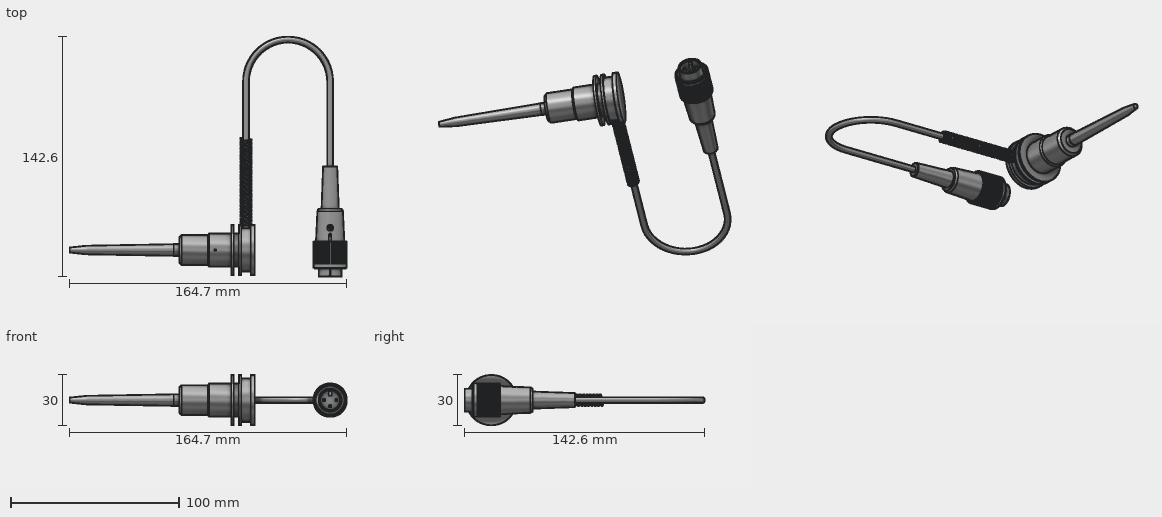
import cadquery as cq
import math

TOTAL_LENGTH = 164.7

CUTTER_HEIGHT = 1.6

TIP_DIA = 3.1
TIP_DOME = 0.2
TIP_CONE_END = 10.0
ROD_FRONT_DIA = 5.3
ROD_REAR_DIA = 7.0
NECK_START = 62.0
NECK_DIA = 7.2

HOUSING_START = 65.0
NOSE_DIA = 18.0
NOSE_CHAMFER = 1.5
BODY_START = 82.0
BODY_DIA = 20.0
BODY_CHAMFER = 1.0
FLANGE_DIA = 30.0
THIN_FLANGE_WIDTH = 1.5
DISC_START = 96.0
FRONT_FLANGE_START = 100.5
GROOVE_WIDTH = 5.6
GROOVE_DIA = 26.0
REAR_FLANGE_WIDTH = 2.5
MARK_X = 86.5
MARK_DIA = 1.0
MARK_DEPTH = 0.5

DISC_END = DISC_START + THIN_FLANGE_WIDTH
GROOVE_START = FRONT_FLANGE_START + THIN_FLANGE_WIDTH
GROOVE_END = GROOVE_START + GROOVE_WIDTH
HOUSING_END = GROOVE_END + REAR_FLANGE_WIDTH
GROOVE_FLOOR = GROOVE_DIA / 2

COLLAR_DIA = 20.0
PLUG_X = TOTAL_LENGTH - COLLAR_DIA / 2
BOOT_END = 49.9
BOOT_SMALL_DIA = 8.5
BOOT_LARGE_DIA = 10.4
BOOT_EDGE = 0.5
SHELL_END = 24.5
SHELL_CHAMFER_LENGTH = 1.5
SHELL_END_DIA = 13.7
SHELL_SMALL_DIA = 15.3
SHELL_LARGE_DIA = 17.0
BARREL_DIA = 13.7
BARREL_BORE = 11.7
BARREL_RIM_CHAMFER = 0.7
BARREL_END = -15.8
SOCKET_FLOOR = -6.6

CONTACT_DIA = 1.5
CONTACT_LENGTH = 8.2
CONTACT_TIP_CHAMFER = 0.3
CONTACT_RADIUS = 3.6
CONTACT_ANGLES = (0, 180, 270)
KEY_WIDTH = 1.6
KEY_INNER_RADIUS = 2.6
KEY_SETBACK = 0.7
KEY_SLOT_WIDTH = 0.7
KEY_SLOT_DEPTH = 1.6

SCREW_Y = 13.2
SCREW_DIA = 3.6
SCREW_RECESS = 0.3
CROSS_WIDTH = 0.7
CROSS_LENGTH = 3.3
CROSS_DEPTH = 0.5
ARROW_WIDTH = 1.5
ARROW_DEPTH = 0.3
ARROW_BAR_END = 8.2
ARROW_HEAD_START = 9.0
ARROW_HEAD_END = 10.0

COLLAR_TOP = 5.3
COLLAR_TOP_CHAMFER = 0.5
KNURL_END = -8.2
BAND_END = -10.4
COLLAR_END = -11.2
COLLAR_LIP_DIA = 18.5
COLLAR_BORE = 17.1
COLLAR_RECESS_DEPTH = 5.0
KNURL_COUNT = 90
KNURL_DEPTH = 0.5
INDEX_STRIP_WIDTH = 1.3

CABLE_DIA = 3.6
CABLE_X = GROOVE_START + GROOVE_WIDTH / 2
CABLE_INSERTION = 2.5
CABLE_START = GROOVE_FLOOR - CABLE_INSERTION
CABLE_END = BOOT_END - CABLE_INSERTION
BEND_CENTRE_Y = 100.0
BEND_RADIUS = (PLUG_X - CABLE_X) / 2
WIRE_DIA = 1.0
SPRING_DIA = 7.0
SPRING_SEAT_DIA = 7.2
SPRING_TURNS = 26.5
SPRING_RISE = 52.7
SPRING_START = GROOVE_FLOOR + WIRE_DIA / 2


def revolve_about_x(points):
    return cq.Workplane("XY").polyline(points).close().revolve(360, (0, 0, 0), (1, 0, 0))


def revolve_about_plug(points):
    turned = cq.Workplane("XY").polyline(points).close().revolve(360, (0, 0, 0), (0, 1, 0))
    return turned.translate((PLUG_X, 0, 0))


def along_y(x, y_start, y_end):
    """Sketch plane at y_start whose normal points toward y_end, with the extrusion length."""
    normal = (0, math.copysign(1, y_end - y_start), 0)
    plane = cq.Plane(origin=(x, y_start, 0), xDir=(1, 0, 0), normal=normal)
    return cq.Workplane(plane), abs(y_end - y_start)


def cylinder_y(x, y_start, y_end, diameter):
    sketch, length = along_y(x, y_start, y_end)
    return sketch.circle(diameter / 2).extrude(length)


def plug_box(width, y_start, y_end, z_start, z_end):
    """Box centred on the plug axis in X."""
    box = cq.Workplane("XY").box(width, y_end - y_start, z_end - z_start, centered=(True, False, False))
    return box.translate((PLUG_X, y_start, z_start))


def make_rod():
    """Tapered rod with a conical front and a shallow domed tip."""
    tip_radius = TIP_DIA / 2
    dome_mid = (TIP_DOME / 4, tip_radius / 2)
    return (
        cq.Workplane("XY")
        .moveTo(0, 0)
        .threePointArc(dome_mid, (TIP_DOME, tip_radius))
        .lineTo(TIP_CONE_END, ROD_FRONT_DIA / 2)
        .lineTo(NECK_START, ROD_REAR_DIA / 2)
        .lineTo(NECK_START, NECK_DIA / 2)
        .lineTo(HOUSING_START, NECK_DIA / 2)
        .lineTo(HOUSING_START, 0)
        .close()
        .revolve(360, (0, 0, 0), (1, 0, 0))
    )


def make_housing(cable):
    nose = NOSE_DIA / 2
    body = BODY_DIA / 2
    flange = FLANGE_DIA / 2
    housing = revolve_about_x([
        (HOUSING_START, 0),
        (HOUSING_START, nose - NOSE_CHAMFER),
        (HOUSING_START + NOSE_CHAMFER, nose),
        (BODY_START, nose),
        (BODY_START + BODY_CHAMFER, body),
        (DISC_START, body),
        (DISC_START, flange),
        (DISC_END, flange),
        (DISC_END, body),
        (FRONT_FLANGE_START, body),
        (FRONT_FLANGE_START, flange),
        (GROOVE_START, flange),
        (GROOVE_START, GROOVE_FLOOR),
        (GROOVE_END, GROOVE_FLOOR),
        (GROOVE_END, flange),
        (HOUSING_END, flange),
        (HOUSING_END, 0),
    ])
    mark = (
        cq.Workplane("XY", origin=(MARK_X, 0, body - MARK_DEPTH))
        .circle(MARK_DIA / 2)
        .extrude(CUTTER_HEIGHT)
    )
    spring_seat = cylinder_y(CABLE_X, GROOVE_FLOOR, FLANGE_DIA / 2 + CUTTER_HEIGHT, SPRING_SEAT_DIA)
    return housing.cut(mark).cut(spring_seat).cut(cable)


def make_cable():
    path = (
        cq.Workplane("XY")
        .moveTo(CABLE_X, CABLE_START)
        .lineTo(CABLE_X, BEND_CENTRE_Y)
        .threePointArc((CABLE_X + BEND_RADIUS, BEND_CENTRE_Y + BEND_RADIUS), (PLUG_X, BEND_CENTRE_Y))
        .lineTo(PLUG_X, CABLE_END)
    )
    section = cq.Workplane("XZ", origin=(CABLE_X, CABLE_START, 0)).circle(CABLE_DIA / 2)
    return section.sweep(path)


def make_spring():
    radius = (SPRING_DIA - WIRE_DIA) / 2
    helix = cq.Wire.makeHelix(SPRING_RISE / SPRING_TURNS, SPRING_RISE, radius)
    wire = cq.Workplane("XZ", origin=(radius, 0, 0)).circle(WIRE_DIA / 2)
    spring = wire.sweep(cq.Workplane(obj=helix), isFrenet=True)
    return spring.rotate((0, 0, 0), (1, 0, 0), -90).translate((CABLE_X, SPRING_START, 0))


def shell_radius(y):
    """Radius of the conical shell at height y."""
    cone_end = SHELL_END - SHELL_CHAMFER_LENGTH
    part = (y - COLLAR_TOP) / (cone_end - COLLAR_TOP)
    return (SHELL_LARGE_DIA + part * (SHELL_SMALL_DIA - SHELL_LARGE_DIA)) / 2


def screw_recess():
    floor = shell_radius(SCREW_Y) - SCREW_RECESS
    face = cq.Workplane("XY", origin=(PLUG_X, SCREW_Y, floor))
    recess = face.circle(SCREW_DIA / 2).extrude(CUTTER_HEIGHT)
    cross = (
        face.rect(CROSS_LENGTH, CROSS_WIDTH).extrude(-CROSS_DEPTH)
        .union(face.rect(CROSS_WIDTH, CROSS_LENGTH).extrude(-CROSS_DEPTH))
    )
    return recess.union(cross)


def index_arrow():
    floor = shell_radius(ARROW_BAR_END) - ARROW_DEPTH
    bar = plug_box(ARROW_WIDTH, COLLAR_TOP, ARROW_BAR_END, floor, floor + CUTTER_HEIGHT)
    head = (
        cq.Workplane("XY", origin=(PLUG_X, 0, floor))
        .moveTo(-ARROW_WIDTH / 2, ARROW_HEAD_START)
        .lineTo(ARROW_WIDTH / 2, ARROW_HEAD_START)
        .lineTo(0, ARROW_HEAD_END)
        .close()
        .extrude(CUTTER_HEIGHT)
    )
    return bar.union(head)


def contacts():
    """Three pins that stand on the socket floor."""
    pin = cylinder_y(PLUG_X, SOCKET_FLOOR, SOCKET_FLOOR - CONTACT_LENGTH, CONTACT_DIA)
    pin = pin.faces("<Y").chamfer(CONTACT_TIP_CHAMFER)
    pins = []
    for angle in CONTACT_ANGLES:
        x = CONTACT_RADIUS * math.cos(math.radians(angle))
        z = CONTACT_RADIUS * math.sin(math.radians(angle))
        pins.append(pin.translate((x, 0, z)))
    return pins


def barrel_socket():
    """Bore of the barrel, opening out at the rim."""
    bore = BARREL_BORE / 2
    return revolve_about_plug([
        (0, SOCKET_FLOOR),
        (bore, SOCKET_FLOOR),
        (bore, BARREL_END + BARREL_RIM_CHAMFER),
        (bore + BARREL_RIM_CHAMFER, BARREL_END),
        (0, BARREL_END),
    ])


def add_key(plug):
    """Key rib inside the barrel, with a slot down its back."""
    key_end = BARREL_END + KEY_SETBACK
    slot_start = COLLAR_END + COLLAR_RECESS_DEPTH
    barrel_middle = (BARREL_DIA + BARREL_BORE) / 4
    rib = plug_box(KEY_WIDTH, key_end, SOCKET_FLOOR, KEY_INNER_RADIUS, barrel_middle)
    slot_floor = BARREL_DIA / 2 - KEY_SLOT_DEPTH
    slot_top = BARREL_DIA / 2 + CUTTER_HEIGHT
    slot = plug_box(KEY_SLOT_WIDTH, key_end, slot_start, slot_floor, slot_top)
    return plug.union(rib).cut(slot)


def make_plug(cable):
    shell_edge_start = SHELL_END - SHELL_CHAMFER_LENGTH
    plug = revolve_about_plug([
        (0, BOOT_END),
        (BOOT_SMALL_DIA / 2 - BOOT_EDGE, BOOT_END),
        (BOOT_SMALL_DIA / 2, BOOT_END - BOOT_EDGE),
        (BOOT_LARGE_DIA / 2, SHELL_END),
        (SHELL_END_DIA / 2, SHELL_END),
        (SHELL_SMALL_DIA / 2, shell_edge_start),
        (SHELL_LARGE_DIA / 2, COLLAR_TOP),
        (BARREL_DIA / 2, COLLAR_TOP),
        (BARREL_DIA / 2, BARREL_END),
        (0, BARREL_END),
    ])
    plug = add_key(plug.cut(barrel_socket()))
    for pin in contacts():
        plug = plug.union(pin)
    return plug.cut(screw_recess()).cut(index_arrow()).cut(cable)


def knurl_outline():
    """Alternating tooth tips and valleys around the collar."""
    step = math.pi / KNURL_COUNT
    radii = (COLLAR_DIA / 2, COLLAR_DIA / 2 - KNURL_DEPTH)
    return [
        (radii[i % 2] * math.cos(i * step), radii[i % 2] * math.sin(i * step))
        for i in range(2 * KNURL_COUNT)
    ]


def make_collar():
    rim = COLLAR_DIA / 2
    sketch, length = along_y(PLUG_X, COLLAR_TOP, KNURL_END)
    knurl = sketch.polyline(knurl_outline()).close().extrude(length)
    strip = plug_box(INDEX_STRIP_WIDTH, KNURL_END, COLLAR_TOP, 0, rim)
    blank = revolve_about_plug([
        (0, COLLAR_TOP),
        (rim - COLLAR_TOP_CHAMFER, COLLAR_TOP),
        (rim, COLLAR_TOP - COLLAR_TOP_CHAMFER),
        (rim, KNURL_END),
        (0, KNURL_END),
    ])
    lip = COLLAR_LIP_DIA / 2
    band = revolve_about_plug([
        (0, KNURL_END),
        (rim, KNURL_END),
        (rim, BAND_END),
        (lip, BAND_END),
        (lip, COLLAR_END),
        (0, COLLAR_END),
    ])
    bore = cylinder_y(PLUG_X, COLLAR_TOP, COLLAR_END, BARREL_DIA)
    recess = cylinder_y(PLUG_X, COLLAR_END, COLLAR_END + COLLAR_RECESS_DEPTH, COLLAR_BORE)
    return knurl.union(strip).intersect(blank).union(band).cut(bore).cut(recess)


cable = make_cable()
rod = make_rod()
housing = make_housing(cable)
spring = make_spring()
plug = make_plug(cable)
collar = make_collar()

result = cq.Compound.makeCompound([
    rod.val(), housing.val(), cable.val(), spring.val(), plug.val(), collar.val(),
])